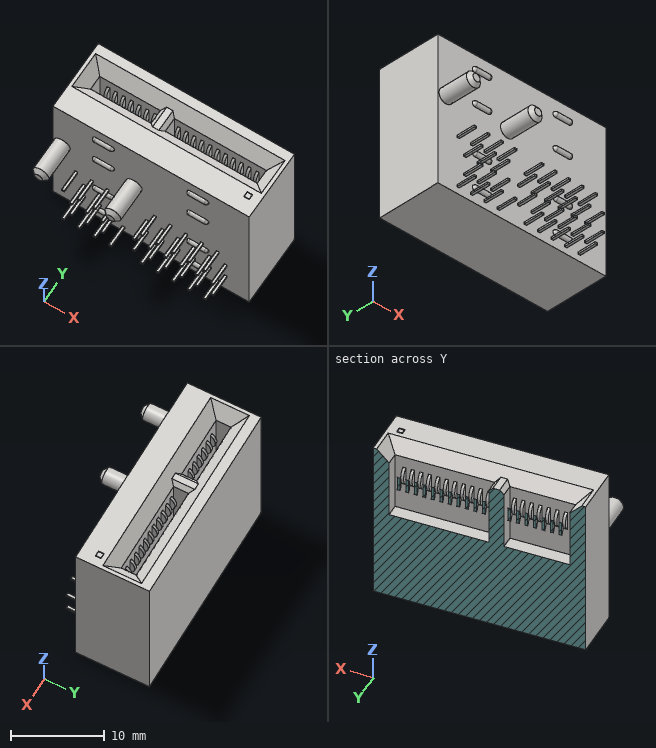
import cadquery as cq


LENGTH = 25.0
DEPTH = 9.05
HEIGHT = 19.6

SLOT_LENGTH = 21.2
SLOT_WIDTH = 1.82
SLOT_DEPTH = 8.5
SLOT_Y = 5.48
LEAD_IN = 1.45
FLOOR_Z = HEIGHT - SLOT_DEPTH
LEAD_IN_Z = HEIGHT - LEAD_IN

KEY_WIDTH = 1.8
KEY_BEVEL = 0.5

PITCH = 1.0
FIRST_CONTACT_X = 3.0
POSITIONS = 20
KEYED_OUT = (7, 8)
KEY_X = FIRST_CONTACT_X + PITCH * sum(KEYED_OUT) / len(KEYED_OUT)

CONTACT_WIDTH = 0.35
CONTACT_TOP_DEPTH = 2.85
CONTACT_HEIGHT = 2.25
CONTACT_BULGE = 0.6

PIN_WIDTH = 0.35
PIN_HEIGHT = 0.25
PIN_LENGTH = 2.68
EVEN_ROWS_Z = (1.0, 7.5)
ODD_ROWS_Z = (3.0, 5.5)

PEG_DIAMETER = 2.05
PEG_LENGTH = 4.75
PEG_CHAMFER = 0.5
PEG_Z = 12.0
PEG_X = (1.2, 10.35)

RIB_RADIUS = 0.38
RIB_STRAIGHT = 2.0
RIB_X = (6.5, 18.5)
RIB_Z = (2.0, 6.5, 13.08, 17.58)

MARK_SIZE = 0.65
MARK_DEPTH = 0.1
MARK_X = 23.5
MARK_Y = 2.15


def box(x_size, y_size, z_size, x, y, z):
    """Box centred on x and y, standing on z."""
    block = cq.Workplane("XY").box(x_size, y_size, z_size, centered=(True, True, False))
    return block.translate((x, y, z))


def card_slot():
    """Straight slot joined to the lead-in that widens towards the top."""
    straight = box(SLOT_LENGTH, SLOT_WIDTH, SLOT_DEPTH, LENGTH / 2, SLOT_Y, FLOOR_Z)
    mouth = (
        cq.Workplane("XY", origin=(LENGTH / 2, SLOT_Y, LEAD_IN_Z))
        .rect(SLOT_LENGTH, SLOT_WIDTH)
        .workplane(offset=LEAD_IN)
        .rect(SLOT_LENGTH + 2 * LEAD_IN, SLOT_WIDTH + 2 * LEAD_IN)
        .loft(ruled=True)
    )
    return straight.union(mouth)


def key():
    """Rib across the slot, bevelled along both top edges and reaching into the lead-in walls."""
    side = KEY_WIDTH / 2
    outline = [
        (-side, FLOOR_Z),
        (side, FLOOR_Z),
        (side, LEAD_IN_Z),
        (side - KEY_BEVEL, LEAD_IN_Z + KEY_BEVEL),
        (KEY_BEVEL - side, LEAD_IN_Z + KEY_BEVEL),
        (-side, LEAD_IN_Z),
    ]
    across = SLOT_WIDTH + 2 * KEY_BEVEL
    bar = cq.Workplane("XZ").polyline(outline).close().extrude(across / 2, both=True)
    return bar.translate((KEY_X, SLOT_Y, 0)).intersect(card_slot())


def contact(x, side):
    """Spring contact bulging in an arc from the rear (side 1) or front (side -1) slot wall."""
    wall = SLOT_Y + side * SLOT_WIDTH / 2
    top = HEIGHT - CONTACT_TOP_DEPTH
    crest = (wall - side * CONTACT_BULGE, top - CONTACT_HEIGHT / 2)
    profile = cq.Workplane("YZ", origin=(x, 0, 0)).moveTo(wall, top)
    profile = profile.threePointArc(crest, (wall, top - CONTACT_HEIGHT)).close()
    return profile.extrude(CONTACT_WIDTH / 2, both=True)


def pin(x, z):
    """Rectangular solder pin standing out of the mounting face."""
    return cq.Workplane("XZ", origin=(x, 0, z)).rect(PIN_WIDTH, PIN_HEIGHT).extrude(PIN_LENGTH)


def peg(x):
    """Round locating peg with a chamfered tip."""
    cylinder = cq.Workplane("XZ", origin=(x, 0, PEG_Z)).circle(PEG_DIAMETER / 2).extrude(PEG_LENGTH)
    return cylinder.faces("<Y").chamfer(PEG_CHAMFER)


def rib(x, z):
    """Capsule along X whose rear half is buried in the housing."""
    half = RIB_STRAIGHT / 2
    capsule = cq.Workplane("YZ").circle(RIB_RADIUS).extrude(half, both=True)
    for end in (-half, half):
        capsule = capsule.union(cq.Workplane("XY").sphere(RIB_RADIUS).translate((end, 0, 0)))
    return capsule.translate((x, 0, z))


housing = box(LENGTH, DEPTH, HEIGHT, LENGTH / 2, DEPTH / 2, 0)
result = housing.cut(card_slot()).union(key())
result = result.cut(box(MARK_SIZE, MARK_SIZE, MARK_DEPTH, MARK_X, MARK_Y, HEIGHT - MARK_DEPTH))

for position in range(POSITIONS):
    if position in KEYED_OUT:
        continue
    contact_x = FIRST_CONTACT_X + position * PITCH
    for wall_side in (-1, 1):
        result = result.union(contact(contact_x, wall_side))
    rows_z = EVEN_ROWS_Z if position % 2 == 0 else ODD_ROWS_Z
    for row_z in rows_z:
        result = result.union(pin(contact_x, row_z))

for peg_x in PEG_X:
    result = result.union(peg(peg_x))

for rib_x in RIB_X:
    for rib_z in RIB_Z:
        result = result.union(rib(rib_x, rib_z))